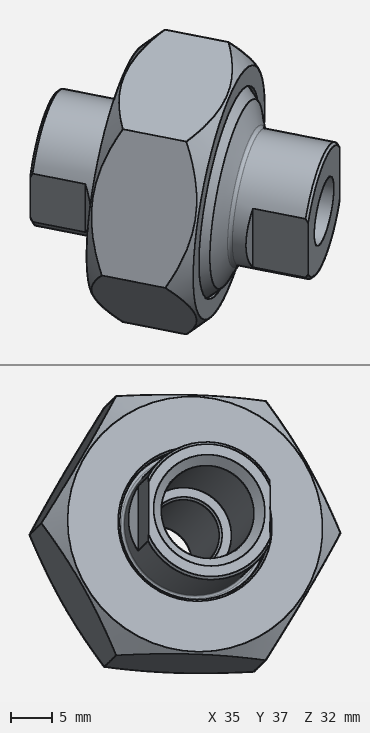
import cadquery as cq

TOTAL_LENGTH = 35.0

NUT_START = 9.5
NUT_LENGTH = 13.5
NUT_END = NUT_START + NUT_LENGTH
NUT_CORNERS = 36.95
NUT_FACE_RADIUS = 31.48 / 2
NUT_BORE_RADIUS = 18.5 / 2
NUT_BORE_CHAMFER = 0.25
CAVITY_RADIUS = 26.4 / 2

TUBE_RADIUS = 17.0 / 2
END_CHAMFER = 0.35
FLAT_LENGTH = 7.0

JOINT_X = 16.25

SOCKET_RADIUS = 11.45 / 2
COUNTERSINK_RADIUS = 13.75 / 2
COUNTERSINK_DEPTH = 1.15
SOCKET_FLAT_WIDTH = 15.0
SOCKET_FLAT_RUNOUT = 1.0
FLANGE_X = 11.25
FLANGE_FILLET = 0.35

PORT_RADIUS = 8.57 / 2
PORT_CHAMFER = 0.3
COLLAR_EDGE_RADIUS = 23.5 / 2
COLLAR_EDGE_X = 23.95
COLLAR_ROOT_X = 25.45
COLLAR_FLAT_WIDTH = 13.93
COLLAR_FLAT_RUNOUT = 0.45
COLLAR_FILLET = 0.55

ROOT_SEARCH_MARGIN = 0.05


def revolve_profile(points):
    """Solid of revolution about X from (x, radius) points."""
    return cq.Workplane("XY").polyline(points).close().revolve(360, (0, 0, 0), (1, 0, 0))


def fillet_root(tube, x, radius):
    """Round the inner corner where a shoulder meets the tube at x."""
    reach = TUBE_RADIUS + ROOT_SEARCH_MARGIN
    root = cq.selectors.BoxSelector(
        (x - ROOT_SEARCH_MARGIN, -reach, -reach),
        (x + ROOT_SEARCH_MARGIN, reach, reach),
        boundingbox=True,
    )
    return tube.edges("%CIRCLE").edges(root).fillet(radius)


def cut_flats(tube, end_x, inward, width, runout):
    """Cut two wrench flats facing +Y and -Y, ending in a slope up to the tube surface."""
    inner_x = end_x + inward * FLAT_LENGTH
    flat_y = width / 2
    profile = [
        (end_x, flat_y),
        (inner_x, flat_y),
        (inner_x + inward * runout, TUBE_RADIUS),
        (end_x, TUBE_RADIUS),
    ]
    cutter = cq.Workplane("XY").polyline(profile).close().extrude(TUBE_RADIUS, both=True)
    return tube.cut(cutter).cut(cutter.mirror("XZ"))


def make_nut():
    hexagon = (
        cq.Workplane("YZ", origin=(NUT_START, 0, 0)).polygon(6, NUT_CORNERS).extrude(NUT_LENGTH)
    )
    corner_radius = NUT_CORNERS / 2
    corner_chamfer = corner_radius - NUT_FACE_RADIUS
    envelope = revolve_profile([
        (NUT_START, 0),
        (NUT_START, NUT_FACE_RADIUS),
        (NUT_START + corner_chamfer, corner_radius),
        (NUT_END - corner_chamfer, corner_radius),
        (NUT_END, NUT_FACE_RADIUS),
        (NUT_END, 0),
    ])
    opening = revolve_profile([
        (NUT_START, 0),
        (NUT_START, NUT_BORE_RADIUS + NUT_BORE_CHAMFER),
        (NUT_START + NUT_BORE_CHAMFER, NUT_BORE_RADIUS),
        (FLANGE_X, NUT_BORE_RADIUS),
        (FLANGE_X, CAVITY_RADIUS),
        (NUT_END, CAVITY_RADIUS),
        (NUT_END, 0),
    ])
    return hexagon.intersect(envelope).cut(opening)


def make_socket_tube():
    tube = revolve_profile([
        (0, COUNTERSINK_RADIUS),
        (0, TUBE_RADIUS - END_CHAMFER),
        (END_CHAMFER, TUBE_RADIUS),
        (FLANGE_X, TUBE_RADIUS),
        (FLANGE_X, CAVITY_RADIUS),
        (JOINT_X, CAVITY_RADIUS),
        (JOINT_X, SOCKET_RADIUS),
        (COUNTERSINK_DEPTH, SOCKET_RADIUS),
    ])
    tube = fillet_root(tube, FLANGE_X, FLANGE_FILLET)
    return cut_flats(tube, 0, 1, SOCKET_FLAT_WIDTH, SOCKET_FLAT_RUNOUT)


def make_collar_tube():
    collar_chamfer = CAVITY_RADIUS - COLLAR_EDGE_RADIUS
    tube = revolve_profile([
        (JOINT_X, PORT_RADIUS + PORT_CHAMFER),
        (JOINT_X, CAVITY_RADIUS),
        (COLLAR_EDGE_X - collar_chamfer, CAVITY_RADIUS),
        (COLLAR_EDGE_X, COLLAR_EDGE_RADIUS),
        (COLLAR_ROOT_X, TUBE_RADIUS),
        (TOTAL_LENGTH - END_CHAMFER, TUBE_RADIUS),
        (TOTAL_LENGTH, TUBE_RADIUS - END_CHAMFER),
        (TOTAL_LENGTH, PORT_RADIUS),
        (JOINT_X + PORT_CHAMFER, PORT_RADIUS),
    ])
    tube = fillet_root(tube, COLLAR_ROOT_X, COLLAR_FILLET)
    return cut_flats(
        tube, TOTAL_LENGTH, -1, COLLAR_FLAT_WIDTH, COLLAR_FLAT_RUNOUT
    )


nut = make_nut()
socket_tube = make_socket_tube()
collar_tube = make_collar_tube()

result = cq.Compound.makeCompound([nut.val(), socket_tube.val(), collar_tube.val()])